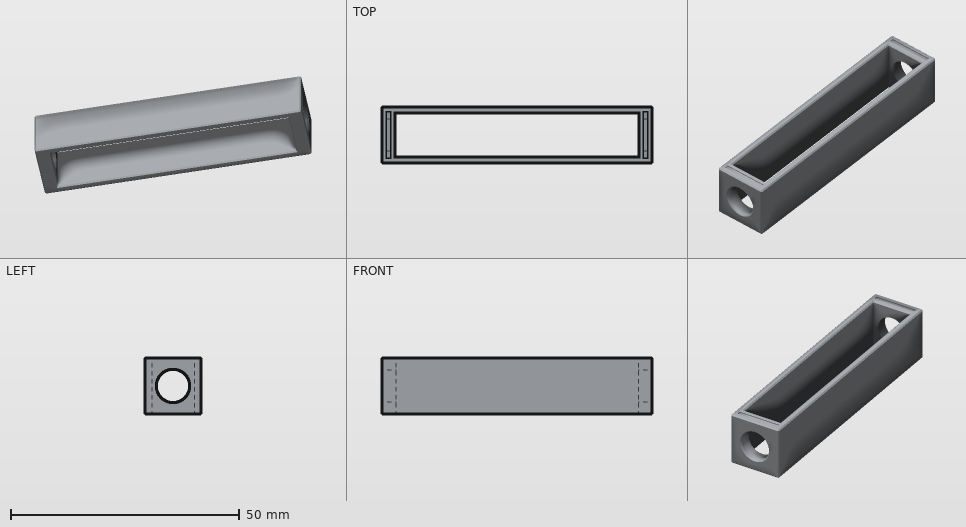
import cadquery as cq

length = 59.38
width = 12.5
height = 12.5
edge_chamfer = 0.3

window_length = 53.18
window_width = 9.35
end_wall = (length - window_length) / 2

bore_diameter = 7.0

label_length = 10.25
label_width = 0.9
label_depth = 0.2


def make_block():
    """Solid block with every outer edge chamfered."""
    return cq.Workplane("XY").box(length, width, height).edges().chamfer(edge_chamfer)


def make_window():
    """Through window, flared by a chamfer at the top and bottom faces."""
    window = cq.Workplane("XY").box(window_length, window_width, height)
    for side in (1, -1):
        flare = (
            cq.Workplane("XY", origin=(0, 0, side * height / 2))
            .rect(window_length + 2 * edge_chamfer, window_width + 2 * edge_chamfer)
            .workplane(offset=-side * edge_chamfer)
            .rect(window_length, window_width)
            .loft(ruled=True)
        )
        window = window.union(flare)
    return window


def make_bore():
    """Bore through both ends, with a chamfered mouth at each end face."""
    mouth_radius = bore_diameter / 2 + edge_chamfer
    half_profile = (
        cq.Workplane("XY")
        .moveTo(-length / 2, 0)
        .lineTo(-length / 2, mouth_radius)
        .lineTo(-length / 2 + edge_chamfer, bore_diameter / 2)
        .lineTo(length / 2 - edge_chamfer, bore_diameter / 2)
        .lineTo(length / 2, mouth_radius)
        .lineTo(length / 2, 0)
        .close()
    )
    return half_profile.revolve(360, (0, 0, 0), (1, 0, 0))


def make_label_recesses():
    """Pair of narrow pockets sunk into the top face."""
    label_x = (length - end_wall) / 2
    return (
        cq.Workplane("XY", origin=(0, 0, height / 2))
        .pushPoints([(-label_x, 0), (label_x, 0)])
        .rect(label_width, label_length)
        .extrude(-label_depth)
    )


result = make_block().cut(make_window()).cut(make_bore()).cut(make_label_recesses())